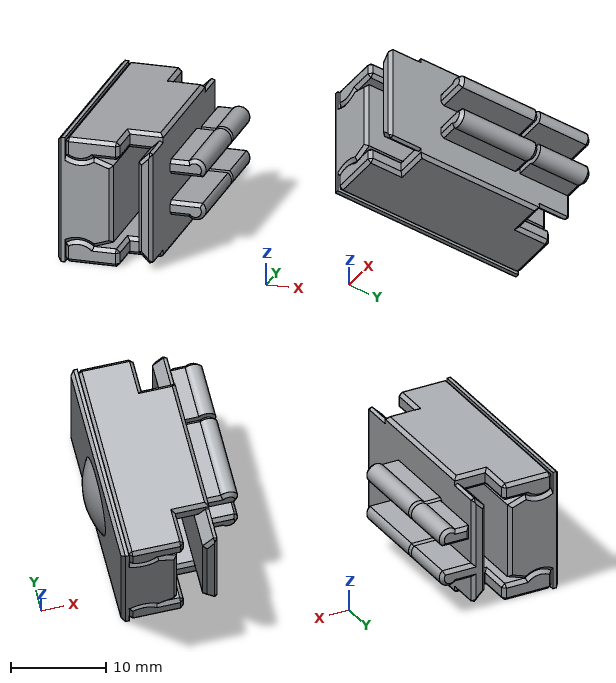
import cadquery as cq
import math

LENGTH = 23.05
HEIGHT = 14.0
CHAMFER = 0.4
EDGE_MARGIN = 0.02
half_length = LENGTH / 2
half_height = HEIGHT / 2

PLATE_THICKNESS = 0.8
DOME_DIAMETER = 8.5
DOME_RISE = 1.27
PLUG_REAR = 6.02
PLUG_REAR_HALF_HEIGHT = 4.3

RAIL_THICKNESS = 1.95
RAIL_END_REAR = 6.73
RAIL_MIDDLE_LENGTH = 15.12
FRAME_REAR = 10.37
BAR_THICKNESS = 1.57
BAR_TIP_FLAT = 0.15
bar_front = FRAME_REAR - BAR_THICKNESS
opening_half_height = half_height - RAIL_THICKNESS

BUMP_CENTRE_X = 2.3
BUMP_HALF_CHORD = 1.61
BUMP_DEPTH = 0.58
bump_radius = (BUMP_HALF_CHORD**2 + BUMP_DEPTH**2) / (2 * BUMP_DEPTH)
bump_centre_z = opening_half_height - BUMP_DEPTH + bump_radius

PRONG_Z = 2.3
PRONG_THICKNESS = 1.64
BEAD_RADIUS = 1.1
BEAD_CENTRE_X = 13.07
MIDDLE_PRONG_START = -5.02
MIDDLE_PRONG_END = 4.86
SIDE_PRONG_START = 5.07
LOOSE_PRONG_GAP = 0.32


def bump_z(x):
    """Height of the upper bump surface at a given x."""
    return bump_centre_z - math.sqrt(bump_radius**2 - (x - BUMP_CENTRE_X) ** 2)


bump_start = (PLATE_THICKNESS, bump_z(PLATE_THICKNESS))
bump_middle = (BUMP_CENTRE_X, opening_half_height - BUMP_DEPTH)
bump_end = (BUMP_CENTRE_X + BUMP_HALF_CHORD, opening_half_height)


def flipped(point):
    """Mirror an (x, z) point about the mid-height plane."""
    return (point[0], -point[1])


def profile_at(y):
    """Sketch plane in X and Z at the given y; a negative extrusion runs toward +Y."""
    return cq.Workplane(cq.Plane(origin=(0, y, 0), xDir=(1, 0, 0), normal=(0, -1, 0)))


def make_cover():
    plate = cq.Workplane("YZ").rect(LENGTH, HEIGHT).extrude(PLATE_THICKNESS)
    plate = plate.faces("<X").chamfer(CHAMFER)

    plug = (
        profile_at(-half_length)
        .moveTo(*bump_start)
        .threePointArc(bump_middle, bump_end)
        .lineTo(PLUG_REAR, PLUG_REAR_HALF_HEIGHT)
        .lineTo(PLUG_REAR, -PLUG_REAR_HALF_HEIGHT)
        .lineTo(*flipped(bump_end))
        .threePointArc(flipped(bump_middle), flipped(bump_start))
        .close()
        .extrude(-LENGTH)
    )
    exposed_edges = cq.selectors.BoxSelector(
        (PLATE_THICKNESS + EDGE_MARGIN, -LENGTH, -HEIGHT), (PLUG_REAR + EDGE_MARGIN, LENGTH, HEIGHT))
    plug = plug.faces("<Y or >Y").edges(exposed_edges).chamfer(CHAMFER)

    dome_radius = ((DOME_DIAMETER / 2) ** 2 + DOME_RISE**2) / (2 * DOME_RISE)
    dome = (
        cq.Workplane("XY")
        .sphere(dome_radius)
        .translate((dome_radius - DOME_RISE, 0, 0))
        .intersect(cq.Workplane("YZ").rect(LENGTH, HEIGHT).extrude(-DOME_RISE))
    )
    return plate.union(plug).union(dome)


def make_rail():
    rail = (
        profile_at(-half_length)
        .moveTo(*bump_start)
        .threePointArc(bump_middle, bump_end)
        .lineTo(FRAME_REAR, opening_half_height)
        .lineTo(FRAME_REAR, half_height)
        .lineTo(PLATE_THICKNESS, half_height)
        .close()
        .extrude(-LENGTH)
    )
    notch_length = (LENGTH - RAIL_MIDDLE_LENGTH) / 2
    for side in (-1, 1):
        notch = cq.Workplane("XY").box(LENGTH, notch_length, HEIGHT, centered=(False, True, True))
        rail = rail.cut(notch.translate((RAIL_END_REAR, side * (half_length - notch_length / 2), half_height)))
    inner_edges = rail.edges(cq.selectors.BoxSelector(
        (bump_end[0] + EDGE_MARGIN, -LENGTH, opening_half_height - EDGE_MARGIN),
        (FRAME_REAR - EDGE_MARGIN, LENGTH, opening_half_height + EDGE_MARGIN)))
    return rail.faces(">Z or <Y or >Y").edges().add(inner_edges).chamfer(CHAMFER)


def make_bar():
    slope_height = BAR_THICKNESS - CHAMFER
    tip = (FRAME_REAR - CHAMFER, opening_half_height + slope_height)
    tip_rear = (FRAME_REAR, tip[1] - BAR_TIP_FLAT)
    corners = [(bar_front, opening_half_height), tip, tip_rear]
    corners += [flipped(corner) for corner in reversed(corners)]
    bar = profile_at(0).polyline(corners).close().extrude(half_length - CHAMFER, both=True)
    for end in ("<Y", ">Y"):
        bar = bar.faces(end).wires().toPending().workplane().extrude(CHAMFER, taper=45)
    return bar


def make_prong(start_x, start_y, end_y, chamfered_ends):
    """Upper prong from start_x to its beaded tip, flat underneath."""
    length = end_y - start_y

    def chamfered_box(front_x, rear_x, height):
        box = cq.Workplane("XY").box(rear_x - front_x, length, height, centered=False)
        box = box.translate((front_x, start_y, PRONG_Z - PRONG_THICKNESS / 2))
        return box.faces(chamfered_ends).chamfer(CHAMFER)

    shank = chamfered_box(start_x, BEAD_CENTRE_X, PRONG_THICKNESS)
    bead = (
        profile_at(start_y)
        .center(BEAD_CENTRE_X, PRONG_Z)
        .circle(BEAD_RADIUS)
        .extrude(-length)
        .faces(chamfered_ends)
        .chamfer(CHAMFER)
    )
    trim_reach = 2 * BEAD_RADIUS
    trim = chamfered_box(BEAD_CENTRE_X - trim_reach, BEAD_CENTRE_X + trim_reach, 2 * trim_reach)
    return shank.union(bead.intersect(trim))


def make_frame():
    rail = make_rail()
    middle_prong = make_prong(bar_front, MIDDLE_PRONG_START, MIDDLE_PRONG_END, "<Y or >Y")
    side_prong = make_prong(bar_front, SIDE_PRONG_START, half_length, ">Y")
    frame = make_bar()
    for piece in (rail, rail.mirror("XY"), middle_prong, middle_prong.mirror("XY"), side_prong.mirror("XY")):
        frame = frame.union(piece)
    return frame


def make_loose_prong():
    return make_prong(FRAME_REAR + LOOSE_PRONG_GAP, SIDE_PRONG_START, half_length, ">Y")


cover = make_cover()
frame = make_frame()
loose_prong = make_loose_prong()

result = cq.Compound.makeCompound([cover.val(), frame.val(), loose_prong.val()])